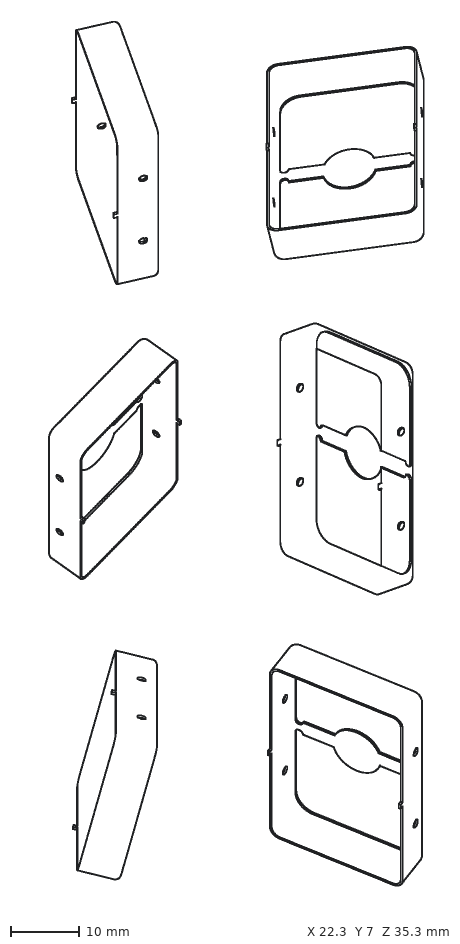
import cadquery as cq

width = 22.3
height = 35.3
rim_depth = 6.4
wall = 0.35
corner_radius = 1.7
back_round = 0.85
inner_round = back_round - wall

window_width = width - 2 * back_round
window_height = height - 2 * back_round
window_corner_radius = 3.0

disc_radius = 4.0
bar_height = 2.5
bar_offset = 0.25
notch_radius = 0.65

hole_radius = 0.65
hole_spacing = 14.95
hole_from_back = 2.5

tab_length = 7.0 - rim_depth
tab_height = 0.85


def upright_block(block_width, block_height, front, back, radius):
    """Rounded-corner block centred in X and Z, spanning front to back along Y."""
    block = cq.Workplane("XY").box(block_width, back - front, block_height)
    return block.edges("|Y").fillet(radius).translate((0, (front + back) / 2, 0))


def floor_cylinder(x, z, radius):
    """Cylinder along Y, as thick as the floor."""
    cylinder = cq.Workplane("XZ").center(x, z).circle(radius).extrude(-wall)
    return cylinder.translate((0, rim_depth - wall, 0))


def make_rim():
    outer = upright_block(width, height, 0, rim_depth, corner_radius)
    outer = outer.faces(">Y").edges().fillet(back_round)
    cavity = upright_block(
        width - 2 * wall, height - 2 * wall, 0, rim_depth - wall, corner_radius - wall
    )
    cavity = cavity.faces(">Y").edges().fillet(inner_round)
    window = upright_block(window_width, window_height, 0, rim_depth, window_corner_radius)
    return outer.cut(cavity).cut(window)


def make_bar():
    bar = cq.Workplane("XY").box(window_width, wall, bar_height)
    bar = bar.translate((0, rim_depth - wall / 2, bar_offset))
    notch_x = window_width / 2 - notch_radius
    for side in (-1, 1):
        for edge in (-1, 1):
            notch_z = bar_offset + edge * bar_height / 2
            bar = bar.cut(floor_cylinder(side * notch_x, notch_z, notch_radius))
    return bar.union(floor_cylinder(0, 0, disc_radius))


def make_tab(side):
    tab = cq.Workplane("XY").box(wall, tab_length, tab_height)
    return tab.translate((side * (width - wall) / 2, -tab_length / 2, 0))


def make_pin_holes():
    return (
        cq.Workplane("YZ", origin=(-width / 2, rim_depth - hole_from_back, 0))
        .rarray(0.35, hole_spacing, 1, 2)
        .circle(hole_radius)
        .extrude(width)
    )


result = make_rim().union(make_bar()).cut(make_pin_holes())
for tab_side in (-1, 1):
    result = result.union(make_tab(tab_side))